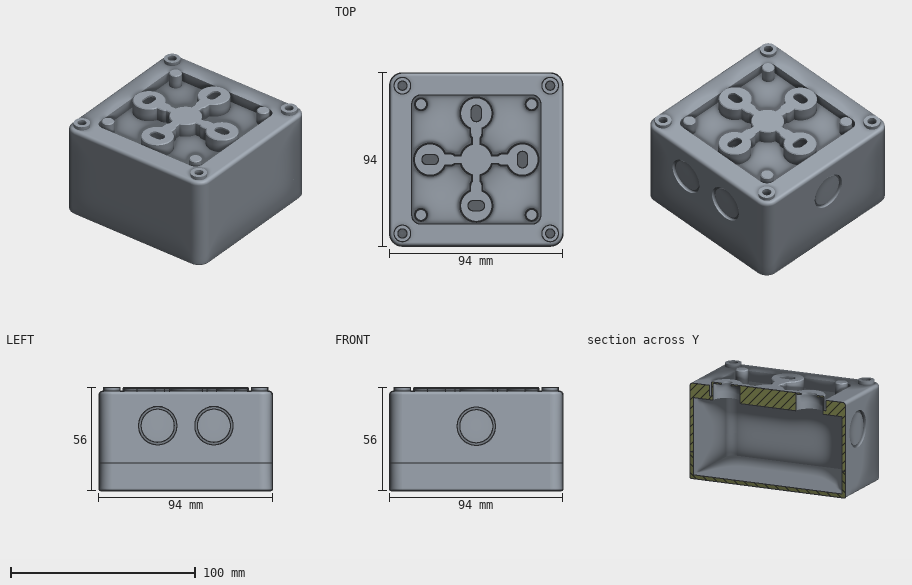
import cadquery as cq

BOX_SIDE = 94.0
CORNER_RADIUS = 7.0
TOTAL_HEIGHT = 56.0
LID_HEIGHT = 15.0
LID_EDGE_RADIUS = 1.0
BOSS_HEIGHT = 2.1
BASE_TOP = TOTAL_HEIGHT - BOSS_HEIGHT
BASE_EDGE_RADIUS = 2.0
WALL = 2.4

BOSS_DIAMETER = 9.0
BOSS_HOLE_DIAMETER = 5.0
BOSS_OFFSET = BOX_SIDE / 2 - CORNER_RADIUS

RECESS_SIDE = 70.0
RECESS_CORNER_RADIUS = 5.0
FOOT_HEIGHT = 8.0
RECESS_FLOOR = TOTAL_HEIGHT - FOOT_HEIGHT
FOOT_CHAMFER = 0.5

PIN_DIAMETER = 7.0
PIN_OFFSET = 30.0

HUB_DIAMETER = 18.0
LOBE_DIAMETER = 18.0
LOBE_OFFSET = 25.0
ARM_WIDTH = 5.0
WIDE_ARM_WIDTH = 7.0
WIDE_ARM_OFFSET = 14.0
SLOT_LENGTH = 9.0
SLOT_WIDTH = 5.5
LOBE_CAVITY_DIAMETER = 16.0
LOBE_ROOF = 1.0
RADIAL_LOBE_ANGLES = (90, 180)
TANGENTIAL_LOBE_ANGLES = (0, 270)

KNOCKOUT_DIAMETER = 20.8
KNOCKOUT_DISC_DIAMETER = 18.0
KNOCKOUT_DISC_DEPTH = 1.0
KNOCKOUT_GROOVE_DEPTH = 2.0
FRONT_KNOCKOUT_HEIGHT = 35.0
SIDE_KNOCKOUT_HEIGHT = 35.25
SIDE_KNOCKOUT_OFFSET = 15.2


def rounded_block(side, corner_radius, bottom, height):
    """Square block with rounded vertical edges, centred on the Z axis."""
    block = cq.Workplane("XY").workplane(offset=bottom).rect(side, side).extrude(height)
    return block.edges("|Z").fillet(corner_radius)


def box_cavity(bottom, top):
    """Space inside the outer walls between two heights."""
    return rounded_block(BOX_SIDE - 2 * WALL, CORNER_RADIUS - WALL, bottom, top - bottom)


def square_corners(offset):
    """The four points at the corners of a square around the Z axis."""
    return [(x, y) for x in (-offset, offset) for y in (-offset, offset)]


def upright_cylinders(points, diameter, bottom, height):
    """One vertical cylinder at each of the points."""
    return cq.Workplane("XY").workplane(offset=bottom).pushPoints(points).circle(diameter / 2).extrude(height)


def pad_arm():
    """Arm along +X: a narrow neck, a wider round-ended neck and the round lobe."""
    floor = cq.Workplane("XY").workplane(offset=RECESS_FLOOR)
    neck = floor.center(LOBE_OFFSET / 2, 0).rect(LOBE_OFFSET, ARM_WIDTH).extrude(FOOT_HEIGHT)
    wide_length = LOBE_OFFSET - WIDE_ARM_OFFSET
    wide_neck = (
        floor.center(WIDE_ARM_OFFSET + wide_length / 2, 0)
        .slot2D(wide_length + WIDE_ARM_WIDTH, WIDE_ARM_WIDTH)
        .extrude(FOOT_HEIGHT)
    )
    lobe = upright_cylinders([(LOBE_OFFSET, 0)], LOBE_DIAMETER, RECESS_FLOOR, FOOT_HEIGHT)
    return neck.union(wide_neck).union(lobe)


def lobe_slot(slot_angle):
    """Slot in the +X lobe, turned by slot_angle from the radial direction."""
    return (
        cq.Workplane("XY")
        .workplane(offset=RECESS_FLOOR)
        .center(LOBE_OFFSET, 0)
        .slot2D(SLOT_LENGTH, SLOT_WIDTH, slot_angle)
        .extrude(FOOT_HEIGHT)
    )


def lobe_cavity():
    """Round cavity under the thin roof of the +X lobe, open to the inside of the box."""
    bottom = RECESS_FLOOR - WALL
    height = TOTAL_HEIGHT - LOBE_ROOF - bottom
    return upright_cylinders([(LOBE_OFFSET, 0)], LOBE_CAVITY_DIAMETER, bottom, height)


def lobe_opening(slot_angle):
    """Cavity of the +X lobe together with the slot through its roof."""
    return lobe_cavity().union(lobe_slot(slot_angle))


def turned(shape, angle):
    """The shape turned about the Z axis."""
    return shape.rotate((0, 0, 0), (0, 0, 1), angle)


def mounting_pad():
    """Chamfered cross-shaped pad, still solid."""
    pad = upright_cylinders([(0, 0)], HUB_DIAMETER, RECESS_FLOOR, FOOT_HEIGHT)
    for angle in RADIAL_LOBE_ANGLES + TANGENTIAL_LOBE_ANGLES:
        pad = pad.union(turned(pad_arm(), angle))
    return pad.faces(">Z").chamfer(FOOT_CHAMFER)


def recess_pins():
    """Four chamfered pins rising from the recess floor."""
    pins = upright_cylinders(square_corners(PIN_OFFSET), PIN_DIAMETER, RECESS_FLOOR, FOOT_HEIGHT)
    return pins.faces(">Z").chamfer(FOOT_CHAMFER)


def knockout(plane, centres):
    """Cutter for the knockouts on one wall; the plane's normal points out of the wall."""
    wall = cq.Workplane(plane).pushPoints(centres)
    disc_recess = wall.circle(KNOCKOUT_DIAMETER / 2).extrude(-KNOCKOUT_DISC_DEPTH)
    groove = (
        wall.circle(KNOCKOUT_DIAMETER / 2)
        .extrude(-KNOCKOUT_GROOVE_DEPTH)
        .cut(wall.circle(KNOCKOUT_DISC_DIAMETER / 2).extrude(-KNOCKOUT_GROOVE_DEPTH))
    )
    return disc_recess.union(groove)


def make_base():
    """Hollow base with corner bosses, a recess holding the pad and pins, and knockouts in two walls."""
    base = rounded_block(BOX_SIDE, CORNER_RADIUS, LID_HEIGHT, BASE_TOP - LID_HEIGHT)
    base = base.faces(">Z").edges().fillet(BASE_EDGE_RADIUS)
    base = base.cut(rounded_block(RECESS_SIDE, RECESS_CORNER_RADIUS, RECESS_FLOOR, FOOT_HEIGHT))
    base = base.union(mounting_pad()).union(recess_pins())

    base = base.cut(box_cavity(LID_HEIGHT, RECESS_FLOOR - WALL))
    for angle in RADIAL_LOBE_ANGLES:
        base = base.cut(turned(lobe_opening(0), angle))
    for angle in TANGENTIAL_LOBE_ANGLES:
        base = base.cut(turned(lobe_opening(90), angle))

    boss_points = square_corners(BOSS_OFFSET)
    base = base.union(upright_cylinders(boss_points, BOSS_DIAMETER, BASE_TOP, BOSS_HEIGHT))
    base = base.cut(upright_cylinders(boss_points, BOSS_HOLE_DIAMETER, RECESS_FLOOR, FOOT_HEIGHT))

    front_wall = cq.Plane(origin=(0, -BOX_SIDE / 2, 0), xDir=(1, 0, 0), normal=(0, -1, 0))
    base = base.cut(knockout(front_wall, [(0, FRONT_KNOCKOUT_HEIGHT)]))
    side_wall = cq.Plane(origin=(-BOX_SIDE / 2, 0, 0), xDir=(0, -1, 0), normal=(-1, 0, 0))
    side_centres = [(side * SIDE_KNOCKOUT_OFFSET, SIDE_KNOCKOUT_HEIGHT) for side in (-1, 1)]
    return base.cut(knockout(side_wall, side_centres))


def make_lid():
    """Hollow lid closing the underside of the base."""
    lid = rounded_block(BOX_SIDE, CORNER_RADIUS, 0, LID_HEIGHT)
    lid = lid.faces("<Z").edges().fillet(LID_EDGE_RADIUS)
    return lid.cut(box_cavity(WALL, LID_HEIGHT))


base = make_base()
lid = make_lid()

result = cq.Compound.makeCompound([base.val(), lid.val()])